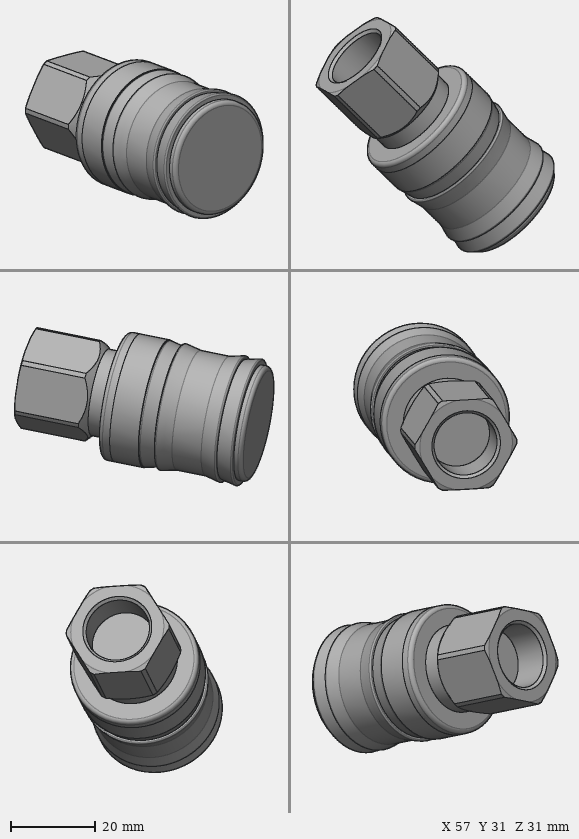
import cadquery as cq
import math

HEX_END = 17.95
NECK_END = 21.95
REAR_RING_END = 24.75
BAND_END = 31.8
SLEEVE_END = 54.95
LENGTH = 57.0

HEX_ACROSS_FLATS = 22.0
HEX_CORNER_DIA = 24.75
FRONT_CHAMFER_DIA = 22.45
FRONT_CHAMFER_LENGTH = 0.35
NECK_DIA = 21.0
BORE_DIA = 15.3
BORE_DEPTH = 9.0
BORE_CHAMFER = 0.7

BODY_DIA = 31.0
BODY_ROUND = 1.0

TOOTH_DIA = 30.9
VALLEY_DIA = 29.1
WAIST_DIA = 29.0
TOOTH_ROUND = 0.35
REAR_TOOTH_START = 35.6
WAIST_START = 39.85
WAIST_END = 47.0
FRONT_TOOTH_END = 50.95

COLLAR_DIA = 28.0
COLLAR_ROUND = BODY_ROUND


def disc(start, end, diameter):
    """Solid cylinder on the X axis between two stations."""
    return cq.Workplane("YZ", origin=(start, 0, 0)).circle(diameter / 2).extrude(end - start)


def turned(profile):
    """Solid of revolution about the X axis from an outline in the XY plane."""
    return profile.close().revolve(360, (0, 0, 0), (1, 0, 0))


def hex_envelope():
    """Turned blank that trims the corners and ends of the hexagon."""
    corner_radius = HEX_CORNER_DIA / 2
    rear_chamfer = corner_radius - NECK_DIA / 2
    return turned(
        cq.Workplane("XY")
        .lineTo(0, FRONT_CHAMFER_DIA / 2)
        .lineTo(FRONT_CHAMFER_LENGTH, corner_radius)
        .lineTo(HEX_END - rear_chamfer, corner_radius)
        .lineTo(HEX_END, NECK_DIA / 2)
        .lineTo(HEX_END, 0)
    )


def bore_shape():
    """Blind bore with a 45 degree chamfer at its mouth."""
    bore_radius = BORE_DIA / 2
    return turned(
        cq.Workplane("XY")
        .lineTo(0, bore_radius + BORE_CHAMFER)
        .lineTo(BORE_CHAMFER, bore_radius)
        .lineTo(BORE_DEPTH, bore_radius)
        .lineTo(BORE_DEPTH, 0)
    )


def make_fitting():
    """Hexagon with two flats square to Z, a round neck and a blind bore."""
    point_to_point = HEX_ACROSS_FLATS / math.cos(math.pi / 6)
    hexagon = cq.Workplane("YZ").polygon(6, point_to_point).extrude(HEX_END)
    neck = disc(HEX_END, NECK_END, NECK_DIA)
    return hexagon.intersect(hex_envelope()).union(neck).cut(bore_shape())


def make_rear_ring():
    """Short ring with a rounded rear edge."""
    return disc(NECK_END, REAR_RING_END, BODY_DIA).edges("<X").fillet(BODY_ROUND)


def make_band():
    """Plain marking band, flush with the rear ring."""
    return disc(REAR_RING_END, BAND_END, BODY_DIA)


def make_sleeve():
    """Waisted grip with two rounded teeth at each end, the teeth pointing outwards."""
    tooth_radius = TOOTH_DIA / 2
    valley_radius = VALLEY_DIA / 2
    waist_radius = WAIST_DIA / 2
    sleeve = turned(
        cq.Workplane("XY")
        .moveTo(BAND_END, 0)
        .lineTo(BAND_END, tooth_radius)
        .lineTo(REAR_TOOTH_START, valley_radius)
        .lineTo(REAR_TOOTH_START, tooth_radius)
        .lineTo(WAIST_START, waist_radius)
        .lineTo(WAIST_END, waist_radius)
        .lineTo(FRONT_TOOTH_END, tooth_radius)
        .lineTo(FRONT_TOOTH_END, valley_radius)
        .lineTo(SLEEVE_END, tooth_radius)
        .lineTo(SLEEVE_END, 0)
    )
    tooth_edges = cq.selectors.RadiusNthSelector(-1)
    return sleeve.edges("%CIRCLE").edges(tooth_edges).fillet(TOOTH_ROUND)


def make_collar():
    """End collar with a rounded outer edge."""
    return disc(SLEEVE_END, LENGTH, COLLAR_DIA).edges(">X").fillet(COLLAR_ROUND)


fitting = make_fitting()
rear_ring = make_rear_ring()
band = make_band()
sleeve = make_sleeve()
collar = make_collar()

result = cq.Compound.makeCompound(
    [fitting.val(), rear_ring.val(), band.val(), sleeve.val(), collar.val()]
)